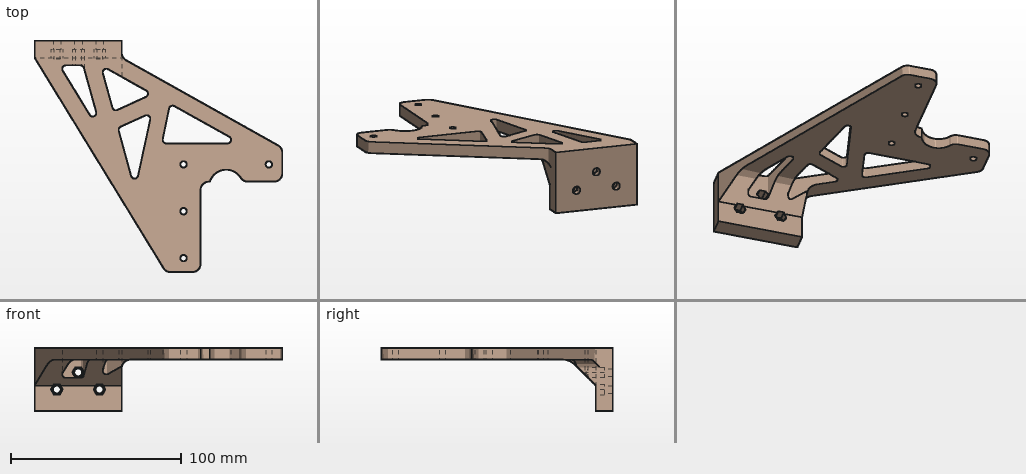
import cadquery as cq
import math

length_x = 145.0
length_y = 135.5
height = 37.0
plate_thickness = 7.0
flange_width = 51.0
flange_thickness = 10.0
corner_radius = 5.0
neck_radius = 5.0

right_shoulder_y = -62.6
right_arm_bottom_y = -82.5
lower_arm_left_x = 76.8
lower_arm_right_x = 97.2

plate_hole_diameter = 3.6
plate_hole_x = 87.1
plate_hole_y = -72.4
plate_hole_pitch_x = 49.9
plate_hole_pitch_y = 27.4

relief_radius = 10.0
relief_x = plate_hole_x + plate_hole_pitch_x / 2
relief_y = -85.5

window_radius = 2.0
windows = [
    [(14.6, -14.5), (28.4, -14.5), (39.9, -55.7)],
    [(38.7, -14.4), (46.3, -41.5), (68.7, -31.2)],
    [(48.9, -51.0), (68.5, -42.2), (58.7, -87.1)],
    [(74.5, -60.0), (79.3, -37.0), (120.6, -60.0)],
]

gusset_leg = 15.1
gusset_radius = 10.0

bolt_diameter = 4.5
nut_across_flats = 6.0
nut_floor_y = -flange_thickness / 2
bolt_pitch_x = 25.0
upper_bolt_z = -14.4
lower_bolt_z = -24.4
bolt_centers = [
    (flange_width / 2, upper_bolt_z),
    (flange_width / 2 - bolt_pitch_x / 2, lower_bolt_z),
    (flange_width / 2 + bolt_pitch_x / 2, lower_bolt_z),
]


def make_outline(depth):
    """Plate outline extruded downwards from the top face, corners rounded."""
    relief_half_chord = math.sqrt(relief_radius**2 - (right_arm_bottom_y - relief_y) ** 2)
    relief_right = (relief_x + relief_half_chord, right_arm_bottom_y)
    neck = (flange_width, -flange_thickness)
    shoulder = (length_x, right_shoulder_y)
    arm_corner = (length_x, right_arm_bottom_y)
    inner_corner = (lower_arm_right_x, right_arm_bottom_y)
    lower_right = (lower_arm_right_x, -length_y)
    lower_left = (lower_arm_left_x, -length_y)
    body = (
        cq.Workplane("XY")
        .moveTo(0, 0)
        .lineTo(flange_width, 0)
        .lineTo(*neck)
        .lineTo(*shoulder)
        .lineTo(*arm_corner)
        .lineTo(*relief_right)
        .threePointArc(
            (relief_x, relief_y + relief_radius),
            (relief_x - relief_half_chord, right_arm_bottom_y),
        )
        .lineTo(*inner_corner)
        .lineTo(*lower_right)
        .lineTo(*lower_left)
        .lineTo(0, -flange_thickness)
        .close()
        .extrude(-depth)
    )
    rounded_corners = [shoulder, arm_corner, relief_right, inner_corner, lower_right, lower_left]
    for corner in rounded_corners:
        body = fillet_upright_edge(body, corner, corner_radius, depth)
    return fillet_upright_edge(body, neck, neck_radius, depth)


def fillet_upright_edge(body, corner, radius, depth):
    """Round the vertical edge that stands at the given XY corner."""
    edge_middle = (corner[0], corner[1], -depth / 2)
    return body.edges(cq.selectors.NearestToPointSelector(edge_middle)).fillet(radius)


def make_side_profile():
    """Plate, gusset and flange in side section, spanning the full width."""
    gusset_top_y = -flange_thickness - gusset_leg
    profile = (
        cq.Workplane("YZ")
        .polyline([
            (0, 0),
            (0, -height),
            (-flange_thickness, -height),
            (-flange_thickness, -plate_thickness - gusset_leg),
            (gusset_top_y, -plate_thickness),
            (-length_y, -plate_thickness),
            (-length_y, 0),
        ])
        .close()
        .extrude(length_x)
    )
    blend_edge = cq.selectors.NearestToPointSelector((length_x / 2, gusset_top_y, -plate_thickness))
    return profile.edges(blend_edge).fillet(gusset_radius)


def make_front_profile():
    """Full-width plate over the narrower flange and gusset, with the inner corner rounded."""
    profile = (
        cq.Workplane("XZ")
        .polyline([
            (0, 0),
            (length_x, 0),
            (length_x, -plate_thickness),
            (flange_width, -plate_thickness),
            (flange_width, -height),
            (0, -height),
        ])
        .close()
        .extrude(length_y)
    )
    inner_edge = cq.selectors.NearestToPointSelector((flange_width, -length_y / 2, -plate_thickness))
    return profile.edges(inner_edge).fillet(neck_radius)


def make_window(corners):
    """Triangular cutter with rounded corners, through the full height."""
    return cq.Workplane("XY").polyline(corners).close().extrude(-height).edges("|Z").fillet(window_radius)


def make_plate_holes():
    """Column of three holes down the lower arm and one at the end of the right arm."""
    centers = [(plate_hole_x, plate_hole_y - row * plate_hole_pitch_y) for row in range(3)]
    centers.append((plate_hole_x + plate_hole_pitch_x, plate_hole_y))
    return cq.Workplane("XY").pushPoints(centers).circle(plate_hole_diameter / 2).extrude(-height)


def make_bolt_cutters():
    """Bolt holes through the flange and nut pockets that also clear the gusset."""
    bolts = cq.Workplane("XZ").pushPoints(bolt_centers).circle(bolt_diameter / 2).extrude(length_y)
    nut_across_corners = nut_across_flats / math.cos(math.pi / 6)
    nuts = (
        cq.Workplane("XZ", origin=(0, nut_floor_y, 0))
        .pushPoints(bolt_centers)
        .polygon(6, nut_across_corners)
        .extrude(length_y)
    )
    return bolts.union(nuts)


result = make_outline(height).intersect(make_side_profile()).intersect(make_front_profile())
for window_corners in windows:
    result = result.cut(make_window(window_corners))
result = result.cut(make_plate_holes()).cut(make_bolt_cutters())